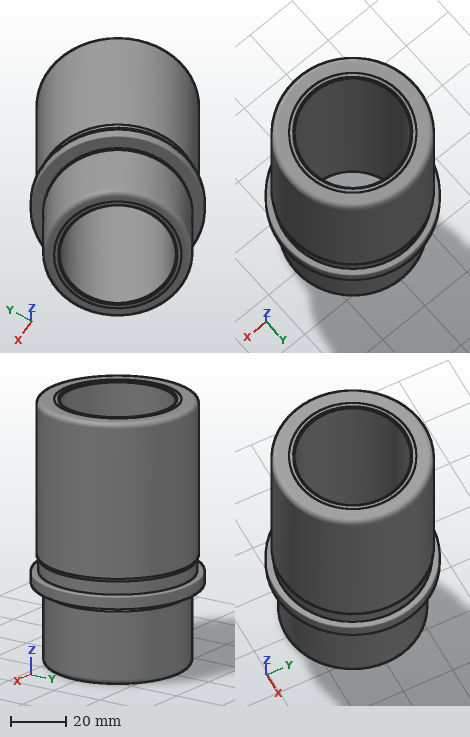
import cadquery as cq
import math

length = 100.0
flange_bottom = 30.2
flange_thickness = 4.8
flange_top = flange_bottom + flange_thickness
neck_length = 5.0
neck_top = flange_top + neck_length
shoulder_chamfer_height = 1.2
undercut_height = 2.2

flange_radius = 31.5
barrel_radius = 29.4
neck_radius = 28.8
spigot_radius = 27.0
undercut_depth = 0.6
liner_outer_radius = 23.0
bore_radius = 21.0

end_fillet = 2.0
flange_fillet = 0.5
bore_chamfer = 0.5

undercut_radius = spigot_radius - undercut_depth
undercut_arc_radius = (undercut_height**2 + undercut_depth**2) / (2 * undercut_depth)
undercut_half_angle = math.asin(undercut_height / undercut_arc_radius) / 2
undercut_mid = (
    undercut_radius + undercut_arc_radius * (1 - math.cos(undercut_half_angle)),
    flange_bottom - undercut_arc_radius * math.sin(undercut_half_angle),
)


def make_housing():
    """Flanged sleeve, revolved from its half section (radius, height)."""
    body = (
        cq.Workplane("XZ")
        .moveTo(liner_outer_radius, 0)
        .lineTo(spigot_radius, 0)
        .lineTo(spigot_radius, flange_bottom - undercut_height)
        .threePointArc(undercut_mid, (undercut_radius, flange_bottom))
        .lineTo(flange_radius, flange_bottom)
        .lineTo(flange_radius, flange_top)
        .lineTo(neck_radius, flange_top)
        .lineTo(neck_radius, neck_top)
        .lineTo(barrel_radius, neck_top + shoulder_chamfer_height)
        .lineTo(barrel_radius, length)
        .lineTo(liner_outer_radius, length)
        .close()
        .revolve(360, (0, 0, 0), (0, 1, 0))
    )
    largest_circles = cq.selectors.RadiusNthSelector(-1)
    for end_face in ("<Z", ">Z"):
        body = body.faces(end_face).edges(largest_circles).fillet(end_fillet)
    return body.edges("%CIRCLE").edges(largest_circles).fillet(flange_fillet)


def make_liner():
    """Thin bearing sleeve filling the housing bore, flush at both ends."""
    return (
        cq.Workplane("XY")
        .circle(liner_outer_radius)
        .circle(bore_radius)
        .extrude(length)
        .faces("<Z or >Z")
        .edges(cq.selectors.RadiusNthSelector(0))
        .chamfer(bore_chamfer)
    )


housing = make_housing()
liner = make_liner()

result = cq.Compound.makeCompound([housing.val(), liner.val()])